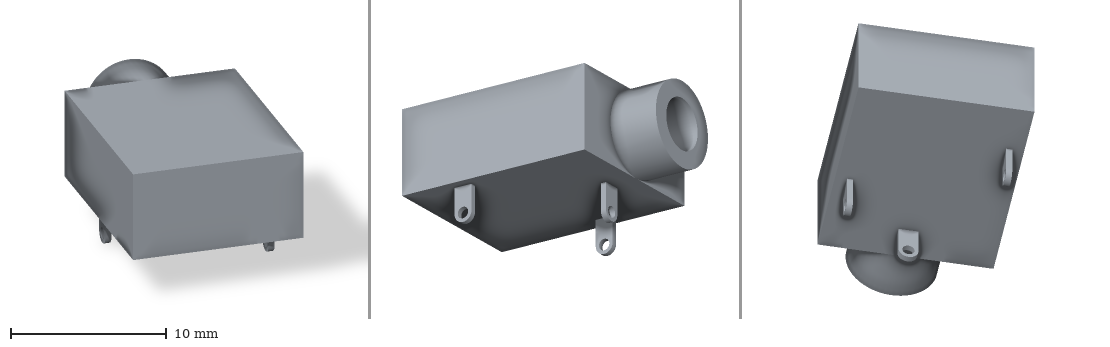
import cadquery as cq

total_length = 17.6
housing_width = 11.5
body_height = 6.0
pin_drop = 2.5

barrel_length = 3.5
barrel_diameter = body_height
bore_diameter = 3.6
barrel_y = -0.25

lid_thickness = 1.0
housing_length = total_length - barrel_length
base_height = body_height - lid_thickness

pin_width = 1.3
pin_thickness = 0.4
pin_hole_diameter = 0.8
side_pin_y = 4.77
pin_places = [
    (5.63, barrel_y, 90),
    (8.9, -side_pin_y, 0),
    (13.41, side_pin_y, 0),
]


def make_block(bottom, height):
    """Rectangular block behind the barrel, centred on Y = 0."""
    return (
        cq.Workplane("XY", origin=(barrel_length, 0, bottom))
        .box(housing_length, housing_width, height, centered=(False, True, False))
    )


def make_barrel():
    """Tube along X whose bore ends at the front wall of the housing."""
    return (
        cq.Workplane("YZ", origin=(0, barrel_y, body_height / 2))
        .circle(barrel_diameter / 2)
        .circle(bore_diameter / 2)
        .extrude(barrel_length)
    )


def make_pin(x, y, turn):
    """Flat pin hanging from Z = 0 with a round, pierced end."""
    half_width = pin_width / 2
    hole_z = half_width - pin_drop
    blade = (
        cq.Workplane("XZ")
        .moveTo(-half_width, 0)
        .lineTo(-half_width, hole_z)
        .threePointArc((0, -pin_drop), (half_width, hole_z))
        .lineTo(half_width, 0)
        .close()
        .extrude(pin_thickness / 2, both=True)
    )
    hole = (
        cq.Workplane("XZ", origin=(0, 0, hole_z))
        .circle(pin_hole_diameter / 2)
        .extrude(pin_thickness, both=True)
    )
    pin = blade.cut(hole)
    return pin.rotate((0, 0, 0), (0, 0, 1), turn).translate((x, y, 0))


housing = make_block(0, base_height)
lid = make_block(base_height, lid_thickness)
barrel = make_barrel()
pins = [make_pin(x, y, turn).val() for x, y, turn in pin_places]

result = cq.Compound.makeCompound([housing.val(), lid.val(), barrel.val(), *pins])